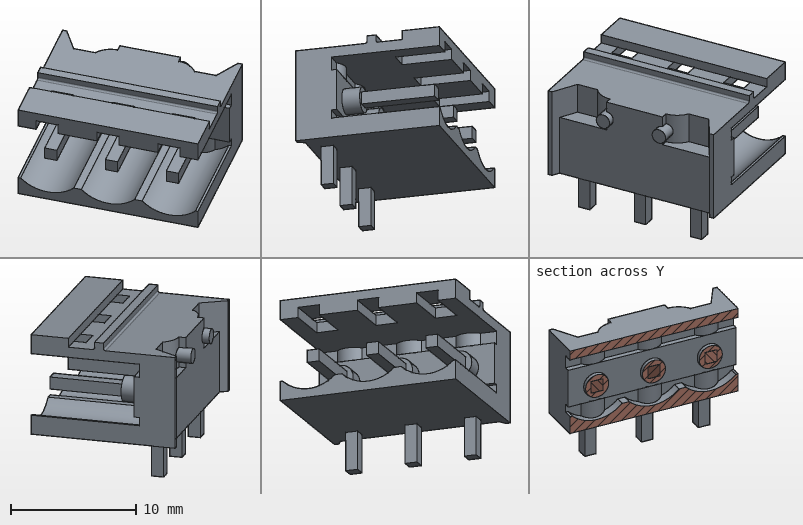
import cadquery as cq


width = 15.04
pin_count = 3
pitch = 5.08
mid_x = width / 2
pin_xs = [mid_x + (i - (pin_count - 1) / 2) * pitch for i in range(pin_count)]

depth = 12.0
back_y = 11.4
base_top = 1.61
ceiling_z = 6.8
roof_z = 7.65
lip_z = 8.4
lip_depth = 3.11
wall_y = 8.57
recess_y = 9.02
recess_low_z = 2.3
recess_high_z = 5.7

rib_front_y = 5.3
rib_back_y = 6.05
rib_top_z = 8.29
rib_fillet = 0.17

slot_width = 1.83
slot_depth = 4.14

trough_half_width = 2.23
trough_bottom_z = 0.72

boss_diameter = 2.1
boss_front_y = 7.08

pocket_front_y = 9.95
pocket_floor_z = 5.11
wing_tip_width = 0.36
wing_root_width = 1.56
shoulder_y = 10.83
shoulder_radius = 1.91
peg_diameter = 1.22
peg_offset = pitch / 2
peg_z = 6.17

pin_side = 1.02
pin_tip_y = 0.98
pin_z = 3.79
tail_y = 9.95
tail_length = 3.22


def box(x_range, y_range, z_range):
    """Box spanning the given (low, high) ranges."""
    low, high = zip(x_range, y_range, z_range)
    size = [b - a for a, b in zip(low, high)]
    return cq.Workplane("XY").box(*size, centered=False).translate(low)


def centred(middle, size):
    """(low, high) range of a given size about a middle value."""
    return (middle - size / 2, middle + size / 2)


def y_cylinder(x, z, diameter, y_range):
    """Cylinder along Y between two Y values."""
    y_start, y_end = y_range
    return (
        cq.Workplane("XZ", origin=(x, y_start, z))
        .circle(diameter / 2)
        .extrude(y_start - y_end)
    )


def make_shell():
    """C-shaped profile with recesses above and below the inner wall face."""
    profile = [
        (0, 0),
        (depth, 0),
        (depth, roof_z),
        (lip_depth, roof_z),
        (lip_depth, lip_z),
        (0, lip_z),
        (0, ceiling_z),
        (recess_y, ceiling_z),
        (recess_y, recess_high_z),
        (wall_y, recess_high_z),
        (wall_y, recess_low_z),
        (recess_y, recess_low_z),
        (recess_y, base_top),
        (0, base_top),
    ]
    return cq.Workplane("YZ").polyline(profile).close().extrude(width)


def make_rib():
    """Rib along X with a concave fillet along each foot."""
    foot_z = roof_z + rib_fillet
    return (
        cq.Workplane("YZ")
        .moveTo(rib_front_y - rib_fillet, roof_z)
        .radiusArc((rib_front_y, foot_z), -rib_fillet)
        .lineTo(rib_front_y, rib_top_z)
        .lineTo(rib_back_y, rib_top_z)
        .lineTo(rib_back_y, foot_z)
        .radiusArc((rib_back_y + rib_fillet, roof_z), -rib_fillet)
        .close()
        .extrude(width)
    )


def make_trough(x):
    """Round-bottomed channel in the base, running from the mouth to the recess."""
    return (
        cq.Workplane("XZ")
        .moveTo(x - trough_half_width, base_top)
        .threePointArc((x, trough_bottom_z), (x + trough_half_width, base_top))
        .close()
        .extrude(-recess_y)
    )


def make_column(x):
    """Shallow round column that bulges from the recess out to the wall face."""
    half_width = boss_diameter / 2
    return (
        cq.Workplane("XY", origin=(0, 0, trough_bottom_z))
        .moveTo(x - half_width, recess_y)
        .threePointArc((x, wall_y), (x + half_width, recess_y))
        .close()
        .extrude(ceiling_z - trough_bottom_z)
    )


def make_slot(x):
    """Keying slot in the lip that breaks out through the roof behind it."""
    return box(centred(x, slot_width), (0, slot_depth), (ceiling_z, roof_z))


def make_back_cut():
    """Left half of the back relief: open pocket beside the wing and the strip behind the body."""
    peg_x = mid_x - peg_offset
    arc_centre_y = shoulder_y - shoulder_radius
    arc_reach = (shoulder_radius**2 - (pocket_front_y - arc_centre_y) ** 2) ** 0.5
    wing_slope = (wing_root_width - wing_tip_width) / (depth - pocket_front_y)
    wing_back_width = wing_tip_width + wing_slope * (depth - back_y)
    pocket = (
        cq.Workplane("XY", origin=(0, 0, pocket_floor_z))
        .moveTo(wing_tip_width, depth)
        .lineTo(wing_root_width, pocket_front_y)
        .lineTo(peg_x - arc_reach, pocket_front_y)
        .radiusArc((peg_x, shoulder_y), shoulder_radius)
        .lineTo(peg_x, depth)
        .close()
        .extrude(roof_z - pocket_floor_z)
    )
    strip = (
        cq.Workplane("XY")
        .moveTo(wing_tip_width, depth)
        .lineTo(wing_back_width, back_y)
        .lineTo(mid_x, back_y)
        .lineTo(mid_x, depth)
        .close()
        .extrude(roof_z)
    )
    return pocket.union(strip)


def make_pin(x):
    """L-shaped square pin: contact along Y and solder tail down Z."""
    contact = box(
        centred(x, pin_side),
        (pin_tip_y, tail_y + pin_side / 2),
        centred(pin_z, pin_side),
    )
    tail = box(centred(x, pin_side), centred(tail_y, pin_side), (-tail_length, pin_z))
    return contact.union(tail)


def make_housing(pins):
    housing = make_shell().union(make_rib())
    for x in pin_xs:
        housing = housing.cut(make_trough(x)).cut(make_slot(x))
    for x in pin_xs:
        boss = y_cylinder(x, pin_z, boss_diameter, (boss_front_y, recess_y))
        housing = housing.union(make_column(x)).union(boss)

    back_cut = make_back_cut()
    mirrored_cut = back_cut.mirror("YZ", (mid_x, 0, 0))
    housing = housing.cut(back_cut).cut(mirrored_cut)
    for x in (mid_x - peg_offset, mid_x + peg_offset):
        housing = housing.union(y_cylinder(x, peg_z, peg_diameter, (pocket_front_y, depth)))

    for pin in pins:
        housing = housing.cut(pin)
    return housing


pins = [make_pin(x) for x in pin_xs]
housing = make_housing(pins)

result = cq.Compound.makeCompound([housing.val(), *[pin.val() for pin in pins]])